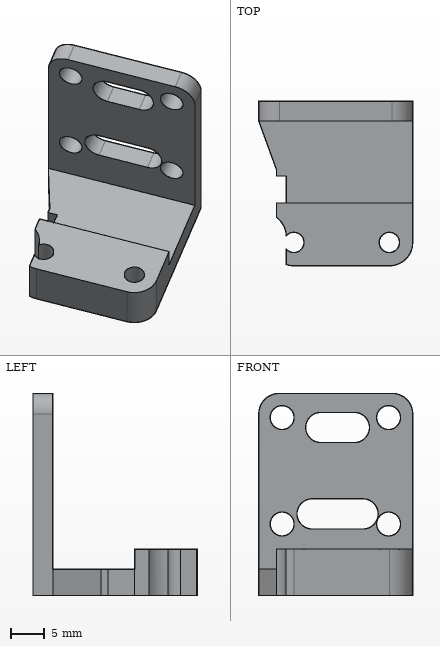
import cadquery as cq

width = 23.2
depth = 24.8
height = 30.43

plate_thickness = 3.0
plate_corner_radius = 3.1
plate_front = depth - plate_thickness

screw_diameter = 3.55
screw_spacing = 16.0
screw_left = 3.53
screw_top = 26.78
screw_right = screw_left + screw_spacing
screw_bottom = screw_top - screw_spacing

slot_height = 4.5
slot_center_x = 11.87
upper_slot_length = 9.55
upper_slot_z = 25.3
lower_slot_length = 12.17
lower_slot_z = 12.3

floor_height = 4.0
block_height = 7.0
block_back = 9.5

outer_left = 2.65
inner_left = 4.15
taper_front = 14.5
notch_back = 13.5
scoop_back = 7.33
scoop_front = 4.35
scoop_radius = 3.65

pin_diameter = 3.0
corner_radius = 3.53
pin_left = 5.3
pin_right = width - corner_radius
pin_y = corner_radius


def make_plate():
    """Upright plate with two rounded top corners."""
    plate = cq.Workplane("XY").box(width, plate_thickness, height, centered=False)
    plate = plate.translate((0, plate_front, 0))
    return plate.edges("|Y and >Z").fillet(plate_corner_radius)


def make_floor():
    """Flat floor, tapered on the left and running under the block."""
    outline = [
        (0, plate_front),
        (outer_left, taper_front),
        (outer_left, notch_back),
        (inner_left, notch_back),
        (inner_left, block_back),
        (width, block_back),
        (width, plate_front),
    ]
    return cq.Workplane("XY").polyline(outline).close().extrude(floor_height)


def make_block():
    """Front block with rounded front corners, the left one cut short."""
    uncut_left = pin_left - corner_radius
    block = (
        cq.Workplane("XY")
        .box(width - uncut_left, block_back, block_height, centered=False)
        .translate((uncut_left, 0, 0))
        .edges("|Z and <Y")
        .fillet(corner_radius)
    )
    trim = (
        cq.Workplane("XY")
        .moveTo(0, 0)
        .lineTo(inner_left, 0)
        .lineTo(inner_left, scoop_front)
        .radiusArc((outer_left, scoop_back), -scoop_radius)
        .lineTo(outer_left, block_back)
        .lineTo(0, block_back)
        .close()
        .extrude(block_height)
    )
    return block.cut(trim)


def make_plate_openings():
    """Cutters for the four screw holes and two slots."""
    back_face = cq.Workplane("XZ", origin=(0, depth, 0))
    screw_centers = [(x, z) for x in (screw_left, screw_right) for z in (screw_bottom, screw_top)]
    openings = back_face.pushPoints(screw_centers).circle(screw_diameter / 2).extrude(plate_thickness)
    for length, z in ((upper_slot_length, upper_slot_z), (lower_slot_length, lower_slot_z)):
        slot = back_face.center(slot_center_x, z).slot2D(length, slot_height).extrude(plate_thickness)
        openings = openings.union(slot)
    return openings


def make_pin_holes():
    """Cutters for the two vertical holes; the left one opens through the side."""
    centers = [(pin_left, pin_y), (pin_right, pin_y)]
    return cq.Workplane("XY").pushPoints(centers).circle(pin_diameter / 2).extrude(block_height)


bracket = make_plate().union(make_floor()).union(make_block())
result = bracket.cut(make_plate_openings()).cut(make_pin_holes())